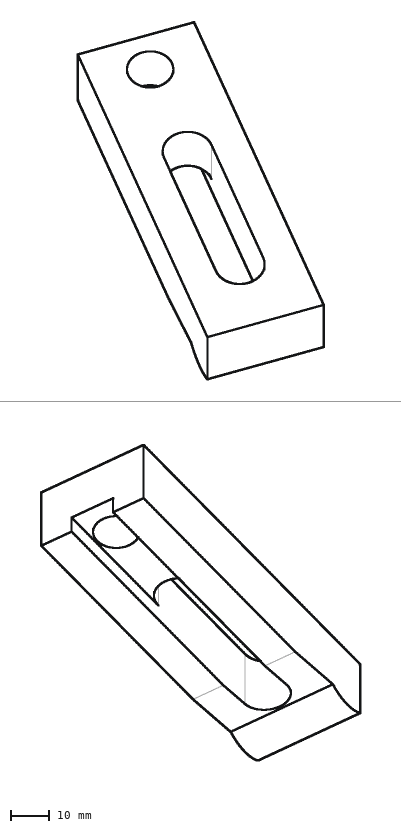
import cadquery as cq
import math

length = 100.0
width = 32.0
height = 19.0

ramp_start_x = 70.0
ramp_rise = 2.0
nose_radius = 12.0
nose_center_x = 94.0
ramp_end_x = nose_center_x - math.sqrt(nose_radius**2 - (nose_radius - ramp_rise) ** 2)
nose_tip_z = nose_radius - math.sqrt(nose_radius**2 - (length - nose_center_x) ** 2)

hole_x = 11.0
hole_diameter = 12.0
slot_width = 13.0
slot_first_center_x = 40.0
slot_last_center_x = 80.0
slot_spacing = slot_last_center_x - slot_first_center_x

groove_width = slot_width
groove_depth = 5.0
groove_length = slot_first_center_x


def make_body():
    """Side profile with the ramp and nose, extruded across the width."""
    return (
        cq.Workplane("XZ")
        .lineTo(ramp_start_x, 0)
        .lineTo(ramp_end_x, ramp_rise)
        .threePointArc((nose_center_x, 0), (length, nose_tip_z))
        .lineTo(length, height)
        .lineTo(0, height)
        .close()
        .extrude(width / 2, both=True)
    )


def make_hole():
    return cq.Workplane("XY").center(hole_x, 0).circle(hole_diameter / 2).extrude(height)


def make_slot():
    slot_middle_x = (slot_first_center_x + slot_last_center_x) / 2
    return (
        cq.Workplane("XY")
        .center(slot_middle_x, 0)
        .slot2D(slot_spacing + slot_width, slot_width)
        .extrude(height)
    )


def make_groove():
    return cq.Workplane("XY").box(
        groove_length, groove_width, groove_depth, centered=(False, True, False)
    )


result = make_body().cut(make_hole()).cut(make_slot()).cut(make_groove())